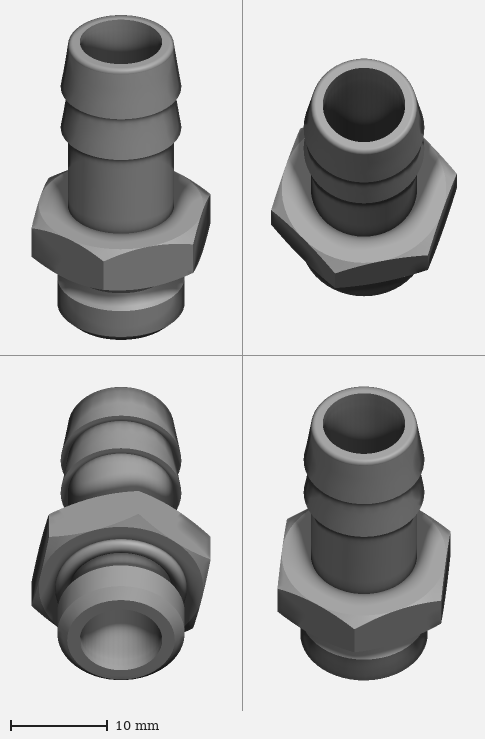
import cadquery as cq
import math

total_height = 33.0
bore_diameter = 8.5

thread_diameter = 13.17
thread_chamfer = 1.02
thread_top = 4.2
neck_diameter = 10.5

hex_across_flats = 17.0
hex_bottom = 8.0
hex_height = 5.0
hex_chamfer_angle = 30.0

tail_diameter = 11.0
barb_diameter = 12.47
barb_bottoms = (22.5, 27.5)
tip_rounding = 0.5

seal_diameter = 13.63
seal_bottom = 7.1

bore_radius = bore_diameter / 2
thread_radius = thread_diameter / 2
neck_radius = neck_diameter / 2
tail_radius = tail_diameter / 2
barb_radius = barb_diameter / 2
seal_section_radius = (seal_diameter - neck_diameter) / 4
seal_pitch_radius = neck_radius + seal_section_radius
seal_center_height = seal_bottom + seal_section_radius
hex_top = hex_bottom + hex_height
hex_flat_radius = hex_across_flats / 2
hex_corner_radius = hex_flat_radius / math.cos(math.radians(30))
neck_bottom = thread_top + thread_radius - neck_radius


def make_threaded_end():
    """Plain cylinder for the thread, with an undercut neck up to the hexagon."""
    profile = [
        (0, 0),
        (thread_radius - thread_chamfer, 0),
        (thread_radius, thread_chamfer),
        (thread_radius, thread_top),
        (neck_radius, neck_bottom),
        (neck_radius, hex_bottom),
        (0, hex_bottom),
    ]
    return cq.Workplane("XZ").polyline(profile).close().revolve(360, (0, 0), (0, 1))


def make_hexagon():
    """Hexagon with corners on X, trimmed by a cone at each end."""
    corner_drop = (hex_corner_radius - hex_flat_radius) * math.tan(math.radians(hex_chamfer_angle))
    prism = (
        cq.Workplane("XY", origin=(0, 0, hex_bottom))
        .polygon(6, 2 * hex_corner_radius)
        .extrude(hex_height)
    )
    trim_profile = [
        (0, hex_bottom),
        (hex_flat_radius, hex_bottom),
        (hex_corner_radius, hex_bottom + corner_drop),
        (hex_corner_radius, hex_top - corner_drop),
        (hex_flat_radius, hex_top),
        (0, hex_top),
    ]
    trim = cq.Workplane("XZ").polyline(trim_profile).close().revolve(360, (0, 0), (0, 1))
    return prism.intersect(trim)


def make_hose_tail():
    """Straight tail with two tapered barbs and a rounded tip."""
    lower_barb, upper_barb = barb_bottoms
    tip_start = total_height - tip_rounding
    return (
        cq.Workplane("XZ")
        .moveTo(0, hex_top)
        .lineTo(tail_radius, hex_top)
        .lineTo(tail_radius, lower_barb)
        .lineTo(barb_radius, lower_barb)
        .lineTo(tail_radius, upper_barb)
        .lineTo(barb_radius, upper_barb)
        .lineTo(tail_radius, tip_start)
        .radiusArc((tail_radius - tip_rounding, total_height), -tip_rounding)
        .lineTo(0, total_height)
        .close()
        .revolve(360, (0, 0), (0, 1))
    )


def make_seal_ring():
    """Round-section ring resting on the neck."""
    return (
        cq.Workplane("XZ")
        .center(seal_pitch_radius, seal_center_height)
        .circle(seal_section_radius)
        .revolve(360, (-seal_pitch_radius, 0), (-seal_pitch_radius, 1))
    )


def make_fitting(seal):
    """Threaded end, hexagon and hose tail in one piece, bored through and grooved for the seal."""
    grooved_hexagon = make_hexagon().cut(seal)
    bore = cq.Workplane("XY").circle(bore_radius).extrude(total_height)
    return make_threaded_end().union(grooved_hexagon).union(make_hose_tail()).cut(bore).solids()


seal_ring = make_seal_ring()
fitting = make_fitting(seal_ring)

result = cq.Compound.makeCompound([fitting.val(), seal_ring.val()])